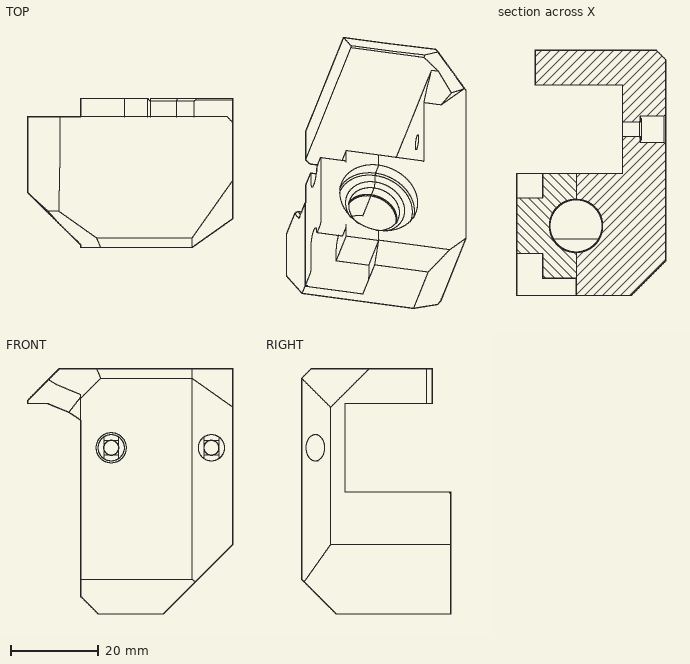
import cadquery as cq
import math

WIDTH = 34.95
HEIGHT = 56.25
DEPTH = 34.2
WALL_THICKNESS = 9.95
ROOF_THICKNESS = 8.0
ROOF_DEPTH = 30.0
ROOF_CORNER_CHAMFER = 1.35
HALFSPACE_SIZE = 225.05

OVERHANG = 12.15
OVERHANG_SLOPE_TOP = 4.7
OVERHANG_BEND_Y = 20.0
OVERHANG_SWEEP = 0.022
GUSSET_PROFILE = [(0, 44.45), (-1.35, 45.4), (-2.7, 46.25), (-7.6, HEIGHT - ROOF_THICKNESS)]
GUSSET_FRONT_Z = 50.35

FOLD_TIP = (-OVERHANG, 12.6, 48.85)
FOLD_UPPER = (-7.5, 8.4, 53.85)
FOLD_MIDDLE = (-5.35, 5.95, 52.5)
FOLD_WALL = (0, 0.6, 49.75)
FOLD_LOWER = (-2.7, 4.1, 46.25)

FRONT_TOP_CHAMFER = 2.2
FRONT_BOTTOM_CHAMFER = 8.0
LEFT_BOTTOM_CHAMFER = 4.1
RIGHT_BOTTOM_CHAMFER = 16.0
RIGHT_BEVEL_X = 25.55
LEFT_FACET_Z = 49.45
FACET_SLOPE = math.sqrt(2)

BLOCK_HEIGHT = 28.0
SPLIT_Y = 20.6
FOOT_RECESS_HEIGHT = 4.0
BORE_Z = (FOOT_RECESS_HEIGHT + BLOCK_HEIGHT) / 2
SEAT_DIAMETER = 18.35
SEAT_FLOOR_DIAMETER = 17.55
SEAT_DEPTH = 3.65
BORE_CONE_DIAMETER = 13.9
BORE_DIAMETER = 11.9
BORE_GROOVE_X = 7.5
BORE_GROOVE_WIDTH = 0.45
BORE_END_X = 22.5
BORE_RAMP_TOP_Z = 13.05

SCREW_XS = (7.05, 30.0)
SCREW_Z = 38.15
SCREW_DIAMETER = 3.4
SCREW_HEAD_DIAMETER = 6.0
SCREW_HEAD_DEPTH = 5.6
SCREW_MOUTH_CHAMFER = 0.45
BRIDGE_STEP = 0.2

LEDGE_Y = 28.25
FOOT_X = 10.05
EDGE_ROUND = 0.6
TAB_HALF_HEIGHT = 9.4
GROOVE_DIAMETER = 6.0
GROOVE_X = 7.15
CAP_WIDTH = 16.0
RAMP_FOOT_X = 22.0
RAMP_TOP_X = 26.0
RECESS_Z = BLOCK_HEIGHT - (RAMP_TOP_X - RAMP_FOOT_X)
RECESS_CHAMFER = 0.6
UPPER_CHAMFER = 0.35


def box(x0, x1, y0, y1, z0, z1):
    return cq.Workplane("XY").box(x1 - x0, y1 - y0, z1 - z0, centered=False).translate((x0, y0, z0))


def outside(point, normal):
    """Everything on the outer side of a plane, as a large cutting block."""
    plane = cq.Plane(origin=point, normal=normal)
    return cq.Workplane(plane).rect(HALFSPACE_SIZE, HALFSPACE_SIZE).extrude(HALFSPACE_SIZE)


def outside_triangle(a, b, c):
    """Everything beyond the plane through three points listed counter-clockwise from outside."""
    first, second, third = cq.Vector(*a), cq.Vector(*b), cq.Vector(*c)
    return outside(a, (second - first).cross(third - first).toTuple())


def xz_prism(points, y0, y1):
    return cq.Workplane("XZ", origin=(0, y0, 0)).polyline(points).close().extrude(y0 - y1)


def cut_bottom_bevels(body):
    body = body.cut(outside((0, FRONT_BOTTOM_CHAMFER, 0), (0, -1, -1)))
    body = body.cut(outside((LEFT_BOTTOM_CHAMFER, 0, 0), (-1, 0, -1)))
    return cut_right_slope(body)


def cut_right_slope(body):
    return body.cut(outside((WIDTH, 0, RIGHT_BOTTOM_CHAMFER), (1, 0, -1)))


def make_bore():
    """Bearing seat, cone and bore along X, closed by a ramp and an end wall."""
    seat_step = (SEAT_DIAMETER - SEAT_FLOOR_DIAMETER) / 2
    cone_step = (BORE_CONE_DIAMETER - BORE_DIAMETER) / 2
    groove_half = BORE_GROOVE_WIDTH / 2
    radius = BORE_DIAMETER / 2
    profile = [
        (0, 0),
        (0, SEAT_DIAMETER / 2),
        (SEAT_DEPTH - seat_step, SEAT_DIAMETER / 2),
        (SEAT_DEPTH, SEAT_FLOOR_DIAMETER / 2),
        (SEAT_DEPTH, BORE_CONE_DIAMETER / 2),
        (SEAT_DEPTH + cone_step, radius),
        (BORE_GROOVE_X, radius),
        (BORE_GROOVE_X + groove_half, radius + groove_half),
        (BORE_GROOVE_X + BORE_GROOVE_WIDTH, radius),
        (BORE_END_X, radius),
        (BORE_END_X, 0),
    ]
    bore = cq.Workplane("XY").polyline(profile).close().revolve(360, (0, 0), (1, 0))
    bore = bore.translate((0, SPLIT_Y, BORE_Z))
    return bore.cut(outside((BORE_END_X, SPLIT_Y, BORE_RAMP_TOP_Z), (1, 0, -1)))


def y_cylinder(x, z, diameter, y0, y1):
    return cq.Workplane("XZ", origin=(x, y0, z)).circle(diameter / 2).extrude(y0 - y1)


def make_screw_hole(x):
    """Counterbored hole whose floor steps down through a slot and a square to the round shank."""
    half = SCREW_DIAMETER / 2
    slot_end = SCREW_HEAD_DEPTH + BRIDGE_STEP
    square_end = slot_end + BRIDGE_STEP
    hole = y_cylinder(x, SCREW_Z, SCREW_DIAMETER, 0, WALL_THICKNESS)
    hole = hole.union(y_cylinder(x, SCREW_Z, SCREW_HEAD_DIAMETER, 0, SCREW_HEAD_DEPTH))
    slot_bottom = SCREW_Z - SCREW_HEAD_DIAMETER
    slot_top = SCREW_Z + SCREW_HEAD_DIAMETER
    slot = box(x - half, x + half, 0, slot_end, slot_bottom, slot_top)
    hole = hole.union(slot.intersect(y_cylinder(x, SCREW_Z, SCREW_HEAD_DIAMETER, 0, slot_end)))
    return hole.union(box(x - half, x + half, 0, square_end, SCREW_Z - half, SCREW_Z + half))


def make_overhang():
    """Left part of the roof with its gusset, before the bevels shared with the wall."""
    roof_bottom = HEIGHT - ROOF_THICKNESS
    overhang = box(-OVERHANG, 0, 0, ROOF_DEPTH, roof_bottom, HEIGHT)
    overhang = overhang.union(xz_prism(GUSSET_PROFILE + [(0, roof_bottom)], 0, WALL_THICKNESS))
    overhang = overhang.cut(outside((0, 0, GUSSET_FRONT_Z), (0, -1, -1)))

    rear_top = (-OVERHANG_SLOPE_TOP, OVERHANG_BEND_Y, HEIGHT)
    rear_slope = outside(rear_top, (-1, 0, 1)).intersect(
        box(-OVERHANG, 0, OVERHANG_BEND_Y, ROOF_DEPTH, roof_bottom, HEIGHT)
    )
    front_slope = outside(rear_top, (-1, OVERHANG_SWEEP, 1)).intersect(
        box(-OVERHANG, 0, 0, OVERHANG_BEND_Y, roof_bottom, HEIGHT)
    )
    overhang = overhang.cut(rear_slope).cut(front_slope)

    overhang = overhang.cut(outside_triangle(FOLD_TIP, FOLD_MIDDLE, FOLD_UPPER))
    overhang = overhang.cut(outside_triangle(FOLD_TIP, FOLD_WALL, FOLD_MIDDLE))
    return overhang.cut(outside_triangle(FOLD_TIP, FOLD_LOWER, FOLD_WALL))


def make_flange():
    """Rear-right part of the block, stepping down along a ramp to a recess beside the cap."""
    outline = [
        (CAP_WIDTH, 0),
        (WIDTH, 0),
        (WIDTH, BLOCK_HEIGHT),
        (RAMP_TOP_X, BLOCK_HEIGHT),
        (RAMP_FOOT_X, RECESS_Z),
        (CAP_WIDTH, RECESS_Z),
    ]
    flange = xz_prism(outline, SPLIT_Y, DEPTH)
    recess_middle = ((CAP_WIDTH + RAMP_FOOT_X) / 2, DEPTH, RECESS_Z)
    ramp_middle = ((RAMP_FOOT_X + RAMP_TOP_X) / 2, DEPTH, (RECESS_Z + BLOCK_HEIGHT) / 2)
    recess_edge = cq.selectors.NearestToPointSelector(recess_middle)
    ramp_edge = cq.selectors.NearestToPointSelector(ramp_middle)
    flange = flange.edges(recess_edge + ramp_edge).chamfer(RECESS_CHAMFER)
    return flange.edges(">Y and >Z").chamfer(UPPER_CHAMFER)


def make_frame():
    """Front wall, roof, overhang and the front and right parts of the bearing block."""
    shell = box(0, WIDTH, 0, WALL_THICKNESS, 0, HEIGHT)
    roof = box(0, WIDTH, 0, ROOF_DEPTH, HEIGHT - ROOF_THICKNESS, HEIGHT)
    roof = roof.edges("|Z and >X and >Y").chamfer(ROOF_CORNER_CHAMFER)
    shell = shell.union(roof).union(make_overhang())

    shell = shell.cut(outside((0, FRONT_TOP_CHAMFER, HEIGHT), (0, -1, 1)))
    shell = shell.cut(outside((RIGHT_BEVEL_X, 0, 0), (1, -FACET_SLOPE, 0)))
    shell = shell.cut(outside((RIGHT_BEVEL_X, FRONT_TOP_CHAMFER, HEIGHT), (FACET_SLOPE, -1, 1)))
    shell = shell.cut(outside((0, 0, LEFT_FACET_Z), (-1, -FACET_SLOPE, 1)))
    shell = cut_bottom_bevels(shell)

    for x in SCREW_XS:
        shell = shell.cut(make_screw_hole(x))
    mouth_radius = SCREW_HEAD_DIAMETER / 2 + SCREW_MOUTH_CHAMFER
    mouth = cq.Solid.makeCone(
        mouth_radius,
        mouth_radius - SCREW_MOUTH_CHAMFER,
        SCREW_MOUTH_CHAMFER,
        pnt=cq.Vector(SCREW_XS[0], 0, SCREW_Z),
        dir=cq.Vector(0, 1, 0),
    )
    shell = shell.cut(cq.Workplane(mouth))

    block = cut_bottom_bevels(box(0, WIDTH, WALL_THICKNESS, SPLIT_Y, 0, BLOCK_HEIGHT))
    block = block.union(cut_right_slope(make_flange())).cut(make_bore())
    return shell.union(block, clean=False)


def make_cap():
    """Rear-left half of the bearing block, with a rounded tab and a groove above and below it."""
    rear = box(0, FOOT_X, LEDGE_Y, DEPTH, BORE_Z - TAB_HALF_HEIGHT, BORE_Z + TAB_HALF_HEIGHT)
    rear = rear.edges("|Y and <X").fillet(EDGE_ROUND)
    rear = rear.union(box(FOOT_X, CAP_WIDTH, LEDGE_Y, DEPTH, 0, BLOCK_HEIGHT))
    rear = rear.edges("|Y and (<Z or >Z)").edges("<X").fillet(EDGE_ROUND)
    for groove_z in (BORE_Z - TAB_HALF_HEIGHT, BORE_Z + TAB_HALF_HEIGHT):
        rear = rear.cut(y_cylinder(GROOVE_X, groove_z, GROOVE_DIAMETER, LEDGE_Y, DEPTH))
        groove_lip = (GROOVE_X - GROOVE_DIAMETER / 2, (LEDGE_Y + DEPTH) / 2, groove_z)
        rear = rear.edges(cq.selectors.NearestToPointSelector(groove_lip)).fillet(EDGE_ROUND)

    foot = box(FOOT_X, CAP_WIDTH, SPLIT_Y, LEDGE_Y, 0, BLOCK_HEIGHT)
    foot = foot.edges("|Y and <X and <Z").fillet(EDGE_ROUND)
    cap = box(0, CAP_WIDTH, SPLIT_Y, LEDGE_Y, FOOT_RECESS_HEIGHT, BLOCK_HEIGHT).union(foot).union(rear)
    cap = cap.edges("(|Y and >X and >Z) or (|Z and >X and >Y)").chamfer(EDGE_ROUND)
    return cap.cut(make_bore())


frame = make_frame()
cap = make_cap()
result = cq.Compound.makeCompound([frame.solids().val(), cap.solids().val()])